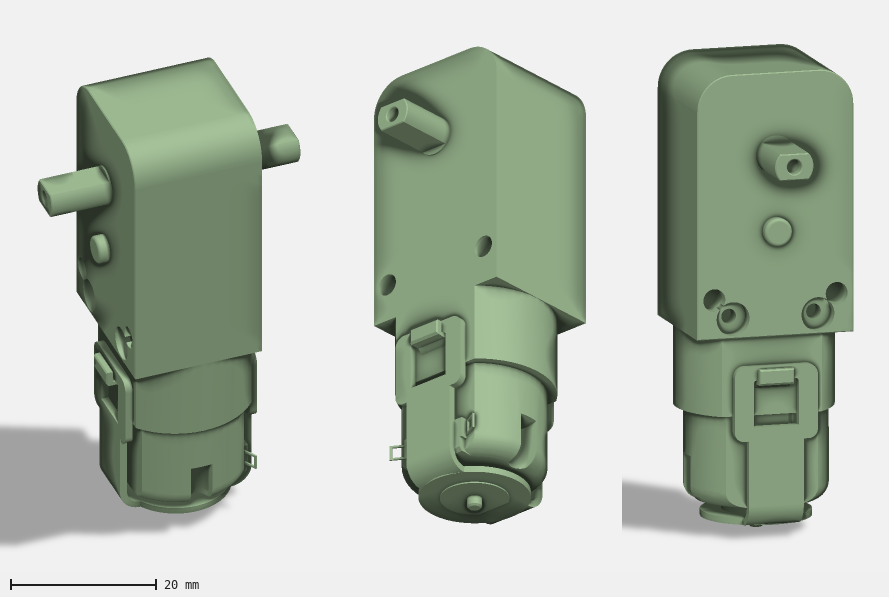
import cadquery as cq

total_height = 65.5

box_width = 22.4
box_depth = 18.75
box_bottom = 28.55
box_corner_radius = 5.0
box_front_chamfer = 0.1

motor_x = 0.295
motor_y = 0.85

sleeve_bottom = 17.3
sleeve_depth = 2 * (box_depth / 2 - motor_y)
sleeve_radius = 11.15

mount_hole_x = 8.8
mount_hole_z = 34.05
mount_hole_radius = 1.6
screw_x = 6.1
screw_z = 31.3
screw_head_radius = 2.35
screw_head_depth = 2.1
screw_radius = 1.05
screw_depth = 4.6

nub_z = 43.35
nub_radius = 1.95
nub_length = 1.65
nub_edge_radius = 0.45

shaft_z = 54.0
shaft_length = 36.7
shaft_radius = 2.75
shaft_flat_height = 3.7
shaft_journal_proud = 0.25
shaft_hole_radius = 1.05
shaft_hole_depth = 5.25
shaft_end_chamfer = 0.1

can_radius = 10.0
can_depth = 15.05
can_bottom = 4.05
can_edge_radius = 2.35
cap_top = 9.0

groove_radius = 1.6
groove_centre = 8.3
groove_top = 10.7
groove_roof_rise = 0.6
ear_inner = 1.1
ear_outer = 2.0
ear_top = 11.25

slit_x = 2.6
slit_width = 0.4
slit_depth = 0.3
slit_bottom = 13.75

boss_radius = 4.8
boss_front = 3.9
boss_bottom = 1.45
motor_shaft_radius = 1.05
motor_shaft_chamfer = 0.25

block_half_width = 5.25
block_chamfer = 0.5
block_step_z = 6.0
block_step_inset = 0.4
lug_tip_x = 7.65
lug_tip_y = 9.8
lug_slant = 30.0
lug_length = 3.9
lug_thickness = 0.25
lug_bottom = 6.5
lug_top = 8.65
lug_eye_tip = 0.4
lug_eye_length = 1.7
lug_eye_height = 1.6

strap_thickness = 1.05
strap_base_thickness = 0.9
strap_depth = 19.4
strap_bottom = 1.65
strap_bend_radius = 3.0
strap_half_width = 3.9
strap_base_radius = 7.7
end_half_width = 5.95
end_bottom = 13.9
end_top = 24.35
end_top_radius = 1.6
end_bottom_radius = 1.3
window_half_width = 3.2
window_bottom = 15.85
window_top = 22.4
window_corner_radius = 0.4

hook_leg_top = window_top
hook_half_width = 2.5
hook_reach = 2.5
hook_embed = 0.65
hook_thickness = 0.9
hook_bottom = 21.8
hook_top = 24.05
hook_root_drop = 0.7
hook_edge_chamfer = 0.3
hook_rim_chamfer = 0.2

box_front = -box_depth / 2
box_back = box_depth / 2


def block(x_min, x_max, y_min, y_max, z_min, z_max):
    """Box given by its limits along each axis."""
    return cq.Workplane("XY").box(
        x_max - x_min, y_max - y_min, z_max - z_min, centered=False
    ).translate((x_min, y_min, z_min))


def rod_along_y(x, z, radius, y_start, y_end):
    """Round rod parallel to Y between two Y positions."""
    length = y_end - y_start
    return cq.Workplane(cq.Solid.makeCylinder(radius, length, cq.Vector(x, y_start, z), cq.Vector(0, 1, 0)))


def rod_along_z(x, y, radius, z_start, z_end):
    """Round rod parallel to Z between two heights."""
    return cq.Workplane("XY", origin=(x, y, z_start)).circle(radius).extrude(z_end - z_start)


def flatted_rod(x, radius, depth, z_start, z_end):
    """Upright rod on the motor's Y position, cut flat at front and back."""
    slab = block(x - radius, x + radius, motor_y - depth / 2, motor_y + depth / 2, z_start, z_end)
    return rod_along_z(x, motor_y, radius, z_start, z_end).intersect(slab)


def mirrored_front_to_back(shape):
    """The shape turned over to the other side of the motor's middle plane."""
    return shape.mirror("XZ", (0, motor_y, 0))


def make_hook():
    """Front hook: a leg out of the sleeve that turns up in front of the strap."""
    root = motor_y - sleeve_depth / 2
    tip = root - hook_reach
    profile = [
        (root + hook_embed, hook_bottom - hook_root_drop),
        (root, hook_bottom - hook_root_drop),
        (root - hook_root_drop, hook_bottom),
        (tip + hook_edge_chamfer, hook_bottom),
        (tip, hook_bottom + hook_edge_chamfer),
        (tip, hook_top),
        (tip + hook_thickness, hook_top),
        (tip + hook_thickness, hook_leg_top),
        (root + hook_embed, hook_leg_top),
    ]
    hook = cq.Workplane("YZ").polyline(profile).close().extrude(hook_half_width, both=True)
    return hook.faces("<Y").edges("|Z or >Z").chamfer(hook_rim_chamfer)


def make_nub():
    nub = rod_along_y(0, nub_z, nub_radius, box_front - nub_length, box_front)
    return nub.faces("<Y").edges().fillet(nub_edge_radius)


def make_gearbox():
    half_width = box_width / 2
    body = block(-half_width, half_width, box_front, box_back, box_bottom, total_height)
    body = body.edges("|Y and >Z").fillet(box_corner_radius)
    body = body.faces("<Y").chamfer(box_front_chamfer)
    body = body.union(flatted_rod(0, sleeve_radius, sleeve_depth, sleeve_bottom, box_bottom))

    hook = make_hook()
    body = body.union(hook).union(mirrored_front_to_back(hook)).union(make_nub())

    head_end = box_front + screw_head_depth
    screw_end = box_front + screw_depth
    for side in (-1, 1):
        mount_x = side * mount_hole_x
        body = body.cut(rod_along_y(mount_x, mount_hole_z, mount_hole_radius, box_front, box_back))
        body = body.cut(rod_along_y(side * screw_x, screw_z, screw_head_radius, box_front, head_end))
        body = body.cut(rod_along_y(side * screw_x, screw_z, screw_radius, box_front, screw_end))

    return body.cut(rod_along_y(0, shaft_z, shaft_radius, box_front, box_back))


def make_output_shaft():
    end = shaft_length / 2
    journal_end = box_depth / 2 + shaft_journal_proud
    shaft = rod_along_y(0, shaft_z, shaft_radius, -end, end)
    flats = block(
        -shaft_radius, shaft_radius, -end, end,
        shaft_z - shaft_flat_height / 2, shaft_z + shaft_flat_height / 2,
    )
    shaft = shaft.intersect(flats).union(rod_along_y(0, shaft_z, shaft_radius, -journal_end, journal_end))
    for start in (-end, end - shaft_hole_depth):
        shaft = shaft.cut(rod_along_y(0, shaft_z, shaft_hole_radius, start, start + shaft_hole_depth))
    return shaft.faces("<Y or >Y").chamfer(shaft_end_chamfer)


def make_cap_region():
    """Space taken by the cap: everything below its rim, the groove walls and the four ears."""
    reach = can_radius + 0.65
    region = block(
        motor_x - reach, motor_x + reach, motor_y - can_depth, motor_y + can_depth, 0, cap_top
    )
    region = region.union(
        block(
            motor_x - reach, motor_x + reach, motor_y - ear_outer, motor_y + ear_outer, cap_top, groove_top
        )
    )
    for side in (-1, 1):
        centre = motor_y + side * (ear_inner + ear_outer) / 2
        half = (ear_outer - ear_inner) / 2
        region = region.union(
            block(motor_x - reach, motor_x + reach, centre - half, centre + half, cap_top, ear_top)
        )
    return region


def make_groove(side):
    """Cutter for one side groove: a vertical U channel under a sloping roof."""
    outer = can_radius + 0.65
    axis_x = motor_x + side * groove_centre
    channel = rod_along_z(axis_x, motor_y, groove_radius, can_bottom, groove_top)
    x_min, x_max = sorted((axis_x, motor_x + side * outer))
    channel = channel.union(
        block(x_min, x_max, motor_y - groove_radius, motor_y + groove_radius, can_bottom, groove_top)
    )
    inner_x = motor_x + side * (groove_centre - groove_radius)
    rim_x = motor_x + side * can_radius
    outer_x = motor_x + side * outer
    roof = [
        (inner_x, can_bottom),
        (outer_x, can_bottom),
        (outer_x, groove_top),
        (rim_x, groove_top),
        (inner_x, groove_top - groove_roof_rise),
    ]
    roof_space = (
        cq.Workplane("XZ", origin=(0, motor_y, 0)).polyline(roof).close().extrude(groove_radius, both=True)
    )
    return channel.intersect(roof_space)


def make_lug():
    """Left solder lug: an upright strip with an eye, slanting from its tip in towards the rear block."""
    half = lug_thickness / 2
    eye_middle = (lug_bottom + lug_top) / 2
    lug = block(0, lug_length, -half, half, lug_bottom, lug_top)
    eye = block(
        lug_eye_tip, lug_eye_tip + lug_eye_length, -half, half,
        eye_middle - lug_eye_height / 2, eye_middle + lug_eye_height / 2,
    )
    lug = lug.cut(eye).rotate((0, 0, 0), (0, 0, 1), -lug_slant)
    return lug.translate((motor_x - lug_tip_x, lug_tip_y, 0))


def make_boss(z_top):
    """Bearing boss, cut flat at the front."""
    boss = rod_along_z(motor_x, motor_y, boss_radius, boss_bottom, z_top)
    return boss.intersect(
        block(
            motor_x - boss_radius, motor_x + boss_radius,
            motor_y - boss_front, motor_y + boss_radius, boss_bottom, z_top,
        )
    )


def make_rear_block():
    """Block behind the cap, resting against the strap and slightly narrower at the bottom."""
    back = motor_y + strap_depth / 2 - strap_thickness
    foot_half_width = block_half_width - block_step_inset
    head = block(
        motor_x - block_half_width, motor_x + block_half_width, motor_y, back, block_step_z, cap_top
    )
    foot = block(
        motor_x - foot_half_width, motor_x + foot_half_width, motor_y, back, can_bottom, block_step_z
    )
    return head.union(foot.edges("|X and >Y and <Z").chamfer(block_chamfer))


def make_motor():
    can = rod_along_z(motor_x, motor_y, can_radius, can_bottom, sleeve_bottom)
    can = can.faces("<Z").edges().fillet(can_edge_radius)
    can = can.intersect(flatted_rod(motor_x, can_radius, can_depth, can_bottom, sleeve_bottom))
    for side in (-1, 1):
        can = can.cut(make_groove(side))
        slit_left = motor_x + side * slit_x - slit_width / 2
        front = motor_y - can_depth / 2
        can = can.cut(
            block(slit_left, slit_left + slit_width, front, front + slit_depth, slit_bottom, sleeve_bottom)
        )

    cap_region = make_cap_region()
    motor = can.cut(cap_region).union(can.intersect(cap_region), clean=False)

    lug = make_lug()
    additions = [make_rear_block(), make_boss(can_bottom), lug, lug.mirror("YZ", (motor_x, 0, 0))]
    tip = rod_along_z(motor_x, motor_y, motor_shaft_radius, 0, can_bottom)
    additions.append(tip.faces("<Z").chamfer(motor_shaft_chamfer))
    for addition in additions:
        motor = motor.union(addition, clean=False)
    return motor


def make_strap_end():
    """Wide front end of the strap with its window."""
    front = motor_y - strap_depth / 2
    back = front + strap_thickness
    end = block(motor_x - end_half_width, motor_x + end_half_width, front, back, end_bottom, end_top)
    end = end.edges("|Y and >Z").fillet(end_top_radius)
    end = end.edges("|Y and <Z").fillet(end_bottom_radius)
    window = block(
        motor_x - window_half_width, motor_x + window_half_width, front, back, window_bottom, window_top
    )
    return end.cut(window.edges("|Y and >Z").fillet(window_corner_radius))


def make_strap():
    half_depth = strap_depth / 2
    arms = block(
        motor_x - strap_half_width, motor_x + strap_half_width,
        motor_y - half_depth, motor_y + half_depth, strap_bottom, end_bottom + strap_thickness,
    )
    arms = arms.edges("|X and <Z").fillet(strap_bend_radius)
    inner_half = half_depth - strap_thickness
    space = block(
        motor_x - strap_half_width, motor_x + strap_half_width,
        motor_y - inner_half, motor_y + inner_half,
        strap_bottom + strap_base_thickness, end_bottom + strap_thickness,
    )
    strap = arms.cut(space.edges("|X and <Z").fillet(strap_bend_radius - strap_thickness))

    base_top = strap_bottom + strap_base_thickness
    strap = strap.union(rod_along_z(motor_x, motor_y, strap_base_radius, strap_bottom, base_top))
    end = make_strap_end()
    strap = strap.union(end).union(mirrored_front_to_back(end))
    return strap.cut(make_boss(base_top))


gearbox = make_gearbox()
output_shaft = make_output_shaft()
motor = make_motor()
strap = make_strap()

bodies = [gearbox, output_shaft, motor, strap]
result = cq.Compound.makeCompound([body.solids().val() for body in bodies])